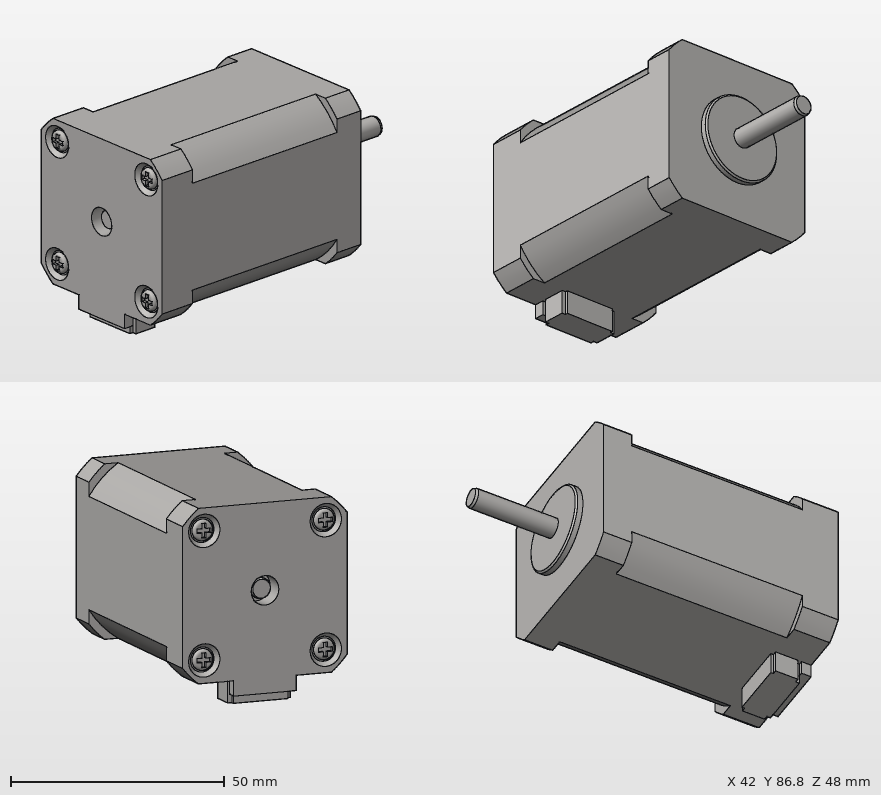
import cadquery as cq

body_width = 42.0
front_face_y = 62.9
front_cap_length = 7.55
rear_cap_length = 9.6
cap_corner_radius = 27.0
stator_corner_radius = 25.0
boss_diameter = 22.1
boss_height = 1.8
boss_edge_chamfer = 0.4

shaft_tip_y = 86.8
shaft_rear_y = 2.0
shaft_diameter = 5.0
shaft_chamfer_length = 0.7
shaft_chamfer_depth = 0.3
rear_hole_diameter = 7.0
rear_hole_depth = 5.2

screw_pitch = 31.0
recess_diameter = 8.0
recess_floor_diameter = 6.0
recess_depth = 1.2
head_diameter = 5.2
head_height = 1.0
head_fillet = 0.9
cross_width = 1.0
cross_depth = 0.9

connector_width = 16.0
connector_bottom_z = -27.0
connector_rear_y = 2.6
connector_front_y = 10.2
end_step_depth = 1.0
rear_step_length = 0.95
front_step_length = 0.7
tab_bottom_z = -24.65

half_width = body_width / 2
rear_cap_y = rear_cap_length
front_cap_y = front_face_y - front_cap_length
cross_length = head_diameter - 2 * head_fillet


def cylinder_y(diameter, y_start, y_end):
    """Cylinder on the motor axis from y_start to y_end."""
    return (
        cq.Workplane("XZ", origin=(0, y_start, 0))
        .circle(diameter / 2)
        .extrude(y_start - y_end)
    )


def box_y(width, y_start, y_end, z_low, z_high):
    """Box centred on X = 0 between the given Y and Z limits."""
    return cq.Workplane("XY").box(
        width, y_end - y_start, z_high - z_low, centered=(True, False, False)
    ).translate((0, y_start, z_low))


def rounded_block(corner_radius, y_start, y_end):
    """Square block whose corners are turned to a radius about the motor axis."""
    square = box_y(body_width, y_start, y_end, -half_width, half_width)
    return square.intersect(cylinder_y(2 * corner_radius, y_start, y_end))


def make_boss():
    """Round pilot boss on the front face."""
    boss = cylinder_y(boss_diameter, front_cap_y, front_face_y + boss_height)
    return boss.faces(">Y").edges().chamfer(boss_edge_chamfer)


def make_connector():
    """Plug body with stepped ends, and the rear tab that covers it."""
    full_width = box_y(
        connector_width,
        connector_rear_y + rear_step_length,
        connector_front_y - front_step_length,
        connector_bottom_z,
        -half_width,
    )
    narrow_ends = box_y(
        connector_width - 2 * end_step_depth,
        connector_rear_y,
        connector_front_y,
        connector_bottom_z,
        -half_width,
    )
    tab = box_y(connector_width, 0, connector_rear_y, tab_bottom_z, -half_width)
    return full_width.union(narrow_ends).union(tab)


def make_recess():
    """Tapered screw recess on the motor axis, open at the rear face."""
    return (
        cq.Workplane("XZ")
        .circle(recess_diameter / 2)
        .workplane(offset=-recess_depth)
        .circle(recess_floor_diameter / 2)
        .loft()
    )


def make_screw_head():
    """Rounded screw head with a cross slot, standing on the recess floor."""
    face_y = recess_depth - head_height
    head = cylinder_y(head_diameter, face_y, recess_depth)
    head = head.faces("<Y").edges().fillet(head_fillet)
    slot = box_y(cross_length, face_y, face_y + cross_depth, -cross_width / 2, cross_width / 2)
    cross = slot.union(slot.rotate((0, 0, 0), (0, 1, 0), 90))
    return head.cut(cross)


def make_shaft():
    """Straight shaft with the same chamfer on both ends."""
    radius = shaft_diameter / 2
    end_radius = radius - shaft_chamfer_depth
    half_section = [
        (0, shaft_rear_y),
        (end_radius, shaft_rear_y),
        (radius, shaft_rear_y + shaft_chamfer_length),
        (radius, shaft_tip_y - shaft_chamfer_length),
        (end_radius, shaft_tip_y),
        (0, shaft_tip_y),
    ]
    return cq.Workplane("XY").polyline(half_section).close().revolve(360, (0, 0, 0), (0, 1, 0))


def make_housing():
    """Stator between two end caps, with boss, connector, screws and shaft bore."""
    housing = rounded_block(stator_corner_radius, rear_cap_y, front_cap_y)
    housing = housing.union(rounded_block(cap_corner_radius, 0, rear_cap_y))
    housing = housing.union(rounded_block(cap_corner_radius, front_cap_y, front_face_y))
    housing = housing.union(make_boss())
    housing = housing.union(make_connector())
    for x_side in (-1, 1):
        for z_side in (-1, 1):
            place = (x_side * screw_pitch / 2, 0, z_side * screw_pitch / 2)
            housing = housing.cut(make_recess().translate(place))
            housing = housing.union(make_screw_head().translate(place))
    housing = housing.cut(cylinder_y(rear_hole_diameter, 0, rear_hole_depth))
    return housing.cut(make_shaft())


housing = make_housing()
shaft = make_shaft()

result = cq.Compound.makeCompound([housing.val(), shaft.val()])